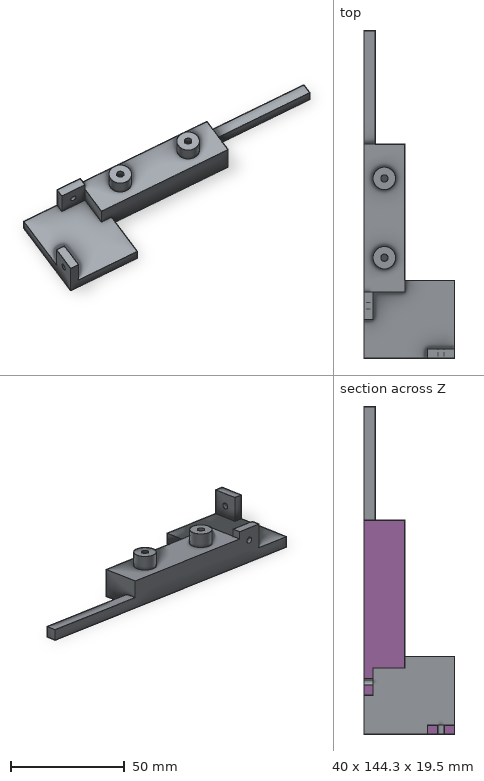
import cadquery as cq

total_length = 144.3
total_height = 19.5

plate_width = 40.0
plate_length = 34.3
base_thickness = 5.0
arm_width = 5.0

block_width = 18.0
block_length = 65.2
block_start = 29.1
block_height = 13.0

boss_diameter = 10.0
boss_hole_diameter = 3.2
boss_spacing = 34.9
boss_x = block_width / 2
first_boss_y = 44.3

tab_width = 12.0
tab_thickness = 4.0
tab_top = 16.5
tab_hole_diameter = 2.7
tab_hole_z = 10.5


def box(x, y, z, width, length, height):
    """Box whose lowest corner is at (x, y, z)."""
    return cq.Workplane("XY").box(width, length, height, centered=False).translate((x, y, z))


def rod(start, direction, diameter, length):
    """Cylinder running from start along direction."""
    cylinder = cq.Solid.makeCylinder(diameter / 2, length, cq.Vector(*start), cq.Vector(*direction))
    return cq.Workplane(cylinder)


body = box(0, 0, 0, plate_width, plate_length, base_thickness)
body = body.union(box(0, 0, 0, arm_width, total_length, base_thickness))
body = body.union(box(0, block_start, 0, block_width, block_length, block_height))

side_tab_y = block_start - tab_width
side_hole_y = side_tab_y + tab_width / 2
body = body.union(box(0, side_tab_y, 0, tab_thickness, tab_width, tab_top))
body = body.cut(rod((0, side_hole_y, tab_hole_z), (1, 0, 0), tab_hole_diameter, tab_thickness))

front_tab_x = plate_width - tab_width
front_hole_x = front_tab_x + tab_width / 2
body = body.union(box(front_tab_x, 0, 0, tab_width, tab_thickness, tab_top))
body = body.cut(rod((front_hole_x, 0, tab_hole_z), (0, 1, 0), tab_hole_diameter, tab_thickness))

boss_height = total_height - block_height
for boss_y in (first_boss_y, first_boss_y + boss_spacing):
    boss_base = (boss_x, boss_y, block_height)
    body = body.union(rod(boss_base, (0, 0, 1), boss_diameter, boss_height))
    body = body.cut(rod(boss_base, (0, 0, 1), boss_hole_diameter, boss_height))

result = body